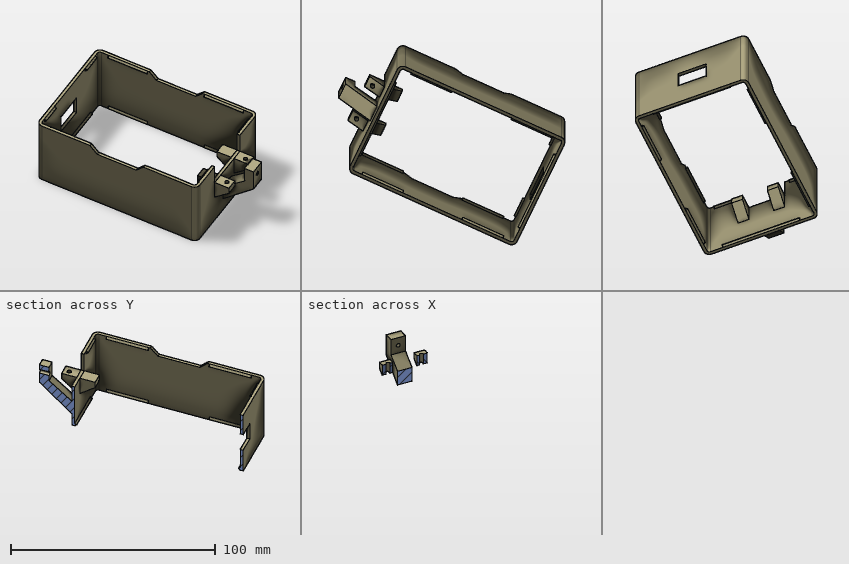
import cadquery as cq

length = 90.0
width = 60.0
height = 37.0
wall = 1.6
corner_radius = 3.0
inner_length = length - 2 * wall
inner_width = width - 2 * wall

dip_top_width = 30.0
dip_depth = 4.0
dip_floor_width = dip_top_width - 2 * dip_depth

window_width = 15.0
window_height = 10.0
window_center_y = -1.15
window_bottom = 14.0

ridge_depth = 1.0
ridge_half_height = 1.0
upper_ridge_z = height - ridge_half_height
lower_ridge_z = ridge_half_height
long_wall_ridge_length = 22.0
long_wall_ridge_x = 27.0
short_wall_upper_ridge_length = 10.0
short_wall_upper_ridge_y = 20.0
short_wall_lower_ridge_length = 41.0

wedge_top = 26.0
wedge_reach = 8.0
wedge_width = 5.8
wedge_center_y = 9.5
wedge_tip_height = 3.5
wedge_root_height = 10.1
notch_width = 2 * wedge_center_y + wedge_width

hole_diameter = 2.0
wedge_hole_reach = 5.0
wedge_hole_y = 9.2

hook_width = 8.0
hook_reach = 17.0
finger_thickness = 5.1
finger_top = 34.4
finger_inner_bottom = 25.6
finger_outer_bottom = 22.6
arm_upper_root = 16.1
arm_lower_root = 7.5
hook_hole_z = 30.0


def sleeve():
    """Four walls with rounded vertical corners."""
    outer = cq.Workplane("XY").rect(length, width).extrude(height).edges("|Z").fillet(corner_radius)
    cavity = cq.Workplane("XY").rect(inner_length, inner_width).extrude(height)
    cavity = cavity.edges("|Z").fillet(corner_radius - wall)
    return outer.cut(cavity)


def top_dip():
    """Trapezoid that lowers the middle of both long walls."""
    floor = height - dip_depth
    points = [
        (-dip_top_width / 2, height),
        (-dip_floor_width / 2, floor),
        (dip_floor_width / 2, floor),
        (dip_top_width / 2, height),
    ]
    return cq.Workplane("XZ").polyline(points).close().extrude(width / 2, both=True)


def window():
    """Rectangular opening, slightly off centre."""
    opening = cq.Workplane("XY").box(wall, window_width, window_height, centered=(False, True, False))
    return opening.translate((-length / 2, window_center_y, window_bottom))


def notch():
    """Slot from the top edge of the +X wall down to the wedge tops."""
    slot = cq.Workplane("XY").box(wall, notch_width, height - wedge_top, centered=(False, True, False))
    return slot.translate((inner_length / 2, 0, wedge_top))


def ridge(ridge_length):
    """Ridge along X whose flat back lies on the plane y = 0 and whose crest points to -Y."""
    points = [(0, -ridge_half_height), (-ridge_depth, 0), (0, ridge_half_height)]
    return cq.Workplane("YZ").polyline(points).close().extrude(ridge_length / 2, both=True)


def ridges():
    """Ridges on all four walls; the half turn repeats one long and one short wall on the facing walls."""
    placed = []
    for turn in (0, 180):
        for side in (-1, 1):
            for z in (lower_ridge_z, upper_ridge_z):
                long_ridge = ridge(long_wall_ridge_length)
                long_ridge = long_ridge.translate((side * long_wall_ridge_x, inner_width / 2, z))
                placed.append(long_ridge.rotate((0, 0, 0), (0, 0, 1), turn))
            upper = ridge(short_wall_upper_ridge_length)
            upper = upper.translate((side * short_wall_upper_ridge_y, inner_length / 2, upper_ridge_z))
            placed.append(upper.rotate((0, 0, 0), (0, 0, 1), turn + 90))
        lower = ridge(short_wall_lower_ridge_length).translate((0, inner_length / 2, lower_ridge_z))
        placed.append(lower.rotate((0, 0, 0), (0, 0, 1), turn + 90))
    return placed


def hook():
    """Arm that rises away from the +X wall to an upright finger with a cross hole."""
    root = length / 2
    tip = root + hook_reach
    finger_inner = tip - finger_thickness
    points = [
        (root, arm_lower_root),
        (tip, finger_outer_bottom),
        (tip, finger_top),
        (finger_inner, finger_top),
        (finger_inner, finger_inner_bottom),
        (root, arm_upper_root),
    ]
    arm = cq.Workplane("XZ").polyline(points).close().extrude(hook_width / 2, both=True)
    hole = cq.Workplane("YZ", origin=(finger_inner, 0, hook_hole_z)).circle(hole_diameter / 2)
    return arm.cut(hole.extrude(finger_thickness))


def make_housing():
    body = sleeve().cut(top_dip()).cut(window()).cut(notch())
    for snap in ridges():
        body = body.union(snap)
    return body.union(hook())


def wedge(face_x, direction, center_y):
    """Wedge with a level top and a sloping underside, standing out from a wall face along +X or -X."""
    tip_x = face_x + direction * wedge_reach
    points = [
        (face_x, wedge_top),
        (tip_x, wedge_top),
        (tip_x, wedge_top - wedge_tip_height),
        (face_x, wedge_top - wedge_root_height),
    ]
    profile = cq.Workplane("XZ", origin=(0, center_y, 0)).polyline(points).close()
    return profile.extrude(wedge_width / 2, both=True)


def make_outer_wedge(side):
    hole = cq.Workplane("XY").center(length / 2 + wedge_hole_reach, side * wedge_hole_y)
    hole = hole.circle(hole_diameter / 2).extrude(height)
    return wedge(length / 2, 1, side * wedge_center_y).cut(hole)


def make_inner_wedge(side):
    return wedge(inner_length / 2, -1, side * wedge_center_y)


housing = make_housing()
outer_wedges = [make_outer_wedge(side) for side in (-1, 1)]
inner_wedges = [make_inner_wedge(side) for side in (-1, 1)]

result = cq.Compound.makeCompound(
    [housing.val()] + [wedge_body.val() for wedge_body in outer_wedges + inner_wedges]
)